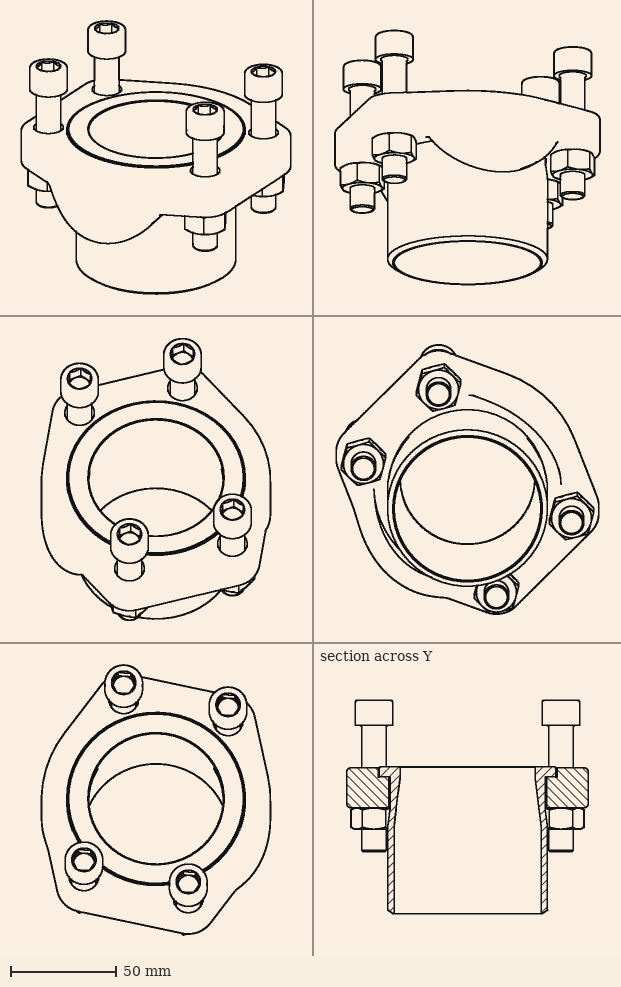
import cadquery as cq
import math

PIPE_TOP = 70.0
FLANGE_TOP = 69.5
FLANGE_BOTTOM = 50.3
COLLAR_BOTTOM = 65.0
NECK_BOTTOM = 50.0
TAPER_BOTTOM = 42.0

PIPE_D = 76.1
PIPE_BORE_D = 69.7
NECK_D = 74.0
NECK_BORE_D = 64.0
COLLAR_D = 84.1
COLLAR_CHAMFER = 0.5
MOUTH_CHAMFER = 0.4
PIPE_END_CHAMFER_WIDTH = 2.5
PIPE_END_CHAMFER_HEIGHT = 1.7

FLANGE_LENGTH = 115.0
FLANGE_ARC_R = 54.5
FLANGE_EDGE_FILLET = 2.0
FLANGE_BORE_D = 74.95
COLLAR_SEAT_D = 84.95
LOBE_ARC_R = 37.0
LOBE_DRAFT = 6.0
LOBE_BOTTOM = 31.3
LOBE_ROOT_FILLET = 2.0
LOBE_INNER_D = 89.0
BOLT_HOLE_D = 14.0

BOLT_PITCH_X = 88.9
BOLT_PITCH_Y = 50.8
BOLT_D = 11.7
BOLT_TIP_D = 10.34
BOLT_LENGTH = 60.0
HEAD_D = 18.0
HEAD_HEIGHT = 12.0
HEAD_TOP = 101.6
HEAD_EDGE_FILLET = 1.2
NECK_FILLET_D = 13.0
NECK_FILLET_HEIGHT = 1.1
SOCKET_WIDTH = 10.0
SOCKET_DEPTH = 7.0
SOCKET_CORNER_ANGLE = 38.0
SOCKET_CONE_HEIGHT = 2.9
NUT_WIDTH = 19.0
NUT_HEIGHT = 10.0
NUT_CHAMFER_ANGLE = 30.0

BOLT_POSITIONS = [
    (side_x * BOLT_PITCH_X / 2, side_y * BOLT_PITCH_Y / 2)
    for side_x in (-1, 1)
    for side_y in (-1, 1)
]


def cylinder(diameter, bottom, top):
    return cq.Workplane("XY").workplane(offset=bottom).circle(diameter / 2).extrude(top - bottom)


def hexagon_corners(width):
    """Diameter of the circle through the corners of a hexagon, from its width across flats."""
    return width / math.cos(math.radians(30))


def make_pipe():
    """Pipe that tapers to a narrower neck with a collar on top."""
    profile = [
        (PIPE_BORE_D / 2, 0),
        (PIPE_D / 2 - PIPE_END_CHAMFER_WIDTH, 0),
        (PIPE_D / 2, PIPE_END_CHAMFER_HEIGHT),
        (PIPE_D / 2, TAPER_BOTTOM),
        (NECK_D / 2, NECK_BOTTOM),
        (NECK_D / 2, COLLAR_BOTTOM),
        (COLLAR_D / 2, COLLAR_BOTTOM),
        (COLLAR_D / 2, PIPE_TOP - COLLAR_CHAMFER),
        (COLLAR_D / 2 - COLLAR_CHAMFER, PIPE_TOP),
        (NECK_BORE_D / 2 + MOUTH_CHAMFER, PIPE_TOP),
        (NECK_BORE_D / 2, PIPE_TOP - MOUTH_CHAMFER),
        (NECK_BORE_D / 2, COLLAR_BOTTOM),
        (PIPE_BORE_D / 2, TAPER_BOTTOM),
    ]
    return cq.Workplane("XZ").polyline(profile).close().revolve(360, (0, 0), (0, 1))


def flange_outline():
    """Two large arcs about the centre and four corner arcs about the bolts, joined by tangent lines."""
    corner_r = (FLANGE_LENGTH - BOLT_PITCH_X) / 2
    bolt_distance = math.hypot(BOLT_PITCH_X, BOLT_PITCH_Y) / 2
    bolt_angle = math.atan2(BOLT_PITCH_Y, BOLT_PITCH_X)
    tangent_angle = bolt_angle + math.acos((FLANGE_ARC_R - corner_r) / bolt_distance)
    bolt_x = BOLT_PITCH_X / 2
    bolt_y = BOLT_PITCH_Y / 2

    side_x = FLANGE_LENGTH / 2
    corner_x = bolt_x + corner_r * math.cos(tangent_angle)
    corner_y = bolt_y + corner_r * math.sin(tangent_angle)
    corner_mid_x = bolt_x + corner_r * math.cos(tangent_angle / 2)
    corner_mid_y = bolt_y + corner_r * math.sin(tangent_angle / 2)
    arc_x = FLANGE_ARC_R * math.cos(tangent_angle)
    arc_y = FLANGE_ARC_R * math.sin(tangent_angle)
    return (
        cq.Workplane("XY")
        .workplane(offset=LOBE_BOTTOM)
        .moveTo(side_x, -bolt_y)
        .lineTo(side_x, bolt_y)
        .threePointArc((corner_mid_x, corner_mid_y), (corner_x, corner_y))
        .lineTo(arc_x, arc_y)
        .threePointArc((0, FLANGE_ARC_R), (-arc_x, arc_y))
        .lineTo(-corner_x, corner_y)
        .threePointArc((-corner_mid_x, corner_mid_y), (-side_x, bolt_y))
        .lineTo(-side_x, -bolt_y)
        .threePointArc((-corner_mid_x, -corner_mid_y), (-corner_x, -corner_y))
        .lineTo(-arc_x, -arc_y)
        .threePointArc((0, -FLANGE_ARC_R), (arc_x, -arc_y))
        .lineTo(corner_x, -corner_y)
        .threePointArc((corner_mid_x, -corner_mid_y), (side_x, -bolt_y))
        .close()
    )


def make_flange():
    """Flange plate with a round lobe hanging down at each end of Y."""
    block = flange_outline().extrude(FLANGE_TOP - LOBE_BOTTOM)

    plate = (
        cq.Workplane("XY")
        .workplane(offset=FLANGE_BOTTOM)
        .rect(FLANGE_LENGTH, 2 * FLANGE_ARC_R)
        .extrude(FLANGE_TOP - FLANGE_BOTTOM)
    )
    lobe = (
        cq.Workplane("XZ", origin=(0, -FLANGE_ARC_R, LOBE_BOTTOM + LOBE_ARC_R))
        .circle(LOBE_ARC_R)
        .extrude(-FLANGE_ARC_R, taper=LOBE_DRAFT)
    )
    stock = plate.union(lobe).union(lobe.mirror("XZ"))
    root_edges = stock.edges("%HYPERBOLA").edges("<Z")
    stock = root_edges.fillet(LOBE_ROOT_FILLET)
    flange = block.intersect(stock)

    outline_edges = flange.edges("not |Z").filter(
        lambda edge: math.hypot(edge.Center().x, edge.Center().y) > LOBE_INNER_D / 2)
    flange = outline_edges.fillet(FLANGE_EDGE_FILLET)

    flange = flange.cut(cylinder(FLANGE_BORE_D, LOBE_BOTTOM, FLANGE_TOP))
    flange = flange.cut(cylinder(COLLAR_SEAT_D, COLLAR_BOTTOM, FLANGE_TOP))
    flange = flange.cut(cylinder(LOBE_INNER_D, LOBE_BOTTOM, FLANGE_BOTTOM))
    for x, y in BOLT_POSITIONS:
        hole = cylinder(BOLT_HOLE_D, FLANGE_BOTTOM, FLANGE_TOP)
        flange = flange.cut(hole.translate((x, y, 0)))
    return flange


def make_bolt():
    """Socket head screw on the Z axis."""
    head_bottom = HEAD_TOP - HEAD_HEIGHT
    tip = head_bottom - BOLT_LENGTH
    neck_step = (NECK_FILLET_D - BOLT_D) / 2
    neck_fillet_r = (neck_step**2 + NECK_FILLET_HEIGHT**2) / (2 * neck_step)
    tip_chamfer = (BOLT_D - BOLT_TIP_D) / 2

    head = cylinder(HEAD_D, head_bottom, HEAD_TOP).faces(">Z").edges().fillet(HEAD_EDGE_FILLET)
    shank = cylinder(BOLT_D, tip, head_bottom).faces("<Z").edges().chamfer(tip_chamfer)
    neck = (
        cq.Workplane("XZ")
        .moveTo(0, head_bottom)
        .lineTo(NECK_FILLET_D / 2, head_bottom)
        .radiusArc((BOLT_D / 2, head_bottom - NECK_FILLET_HEIGHT), -neck_fillet_r)
        .lineTo(0, head_bottom - NECK_FILLET_HEIGHT)
        .close()
        .revolve(360, (0, 0), (0, 1))
    )
    bolt = head.union(shank).union(neck)

    socket_bottom = HEAD_TOP - SOCKET_DEPTH
    corner_d = hexagon_corners(SOCKET_WIDTH)
    socket = (
        cq.Workplane("XY")
        .workplane(offset=socket_bottom)
        .polygon(6, corner_d)
        .extrude(SOCKET_DEPTH)
    )
    socket_cone = cq.Workplane(cq.Solid.makeCone(
        0, SOCKET_WIDTH / 2, SOCKET_CONE_HEIGHT, cq.Vector(0, 0, socket_bottom - SOCKET_CONE_HEIGHT)))
    mouth_cone = cq.Workplane(cq.Solid.makeCone(
        0, corner_d / 2, corner_d / 2, cq.Vector(0, 0, HEAD_TOP - corner_d / 2)))
    bolt = bolt.cut(socket).cut(socket_cone).cut(mouth_cone)
    return bolt.rotate((0, 0, 0), (0, 0, 1), SOCKET_CORNER_ANGLE)


def make_nut():
    """Hexagon nut on the Z axis, with both faces chamfered down to a circle."""
    corner_r = hexagon_corners(NUT_WIDTH) / 2
    face_r = NUT_WIDTH / 2
    bottom = FLANGE_BOTTOM - NUT_HEIGHT
    chamfer = (corner_r - face_r) * math.tan(math.radians(NUT_CHAMFER_ANGLE))
    envelope_profile = [
        (BOLT_D / 2, bottom),
        (face_r, bottom),
        (corner_r, bottom + chamfer),
        (corner_r, FLANGE_BOTTOM - chamfer),
        (face_r, FLANGE_BOTTOM),
        (BOLT_D / 2, FLANGE_BOTTOM),
    ]
    envelope = cq.Workplane("XZ").polyline(envelope_profile).close().revolve(360, (0, 0), (0, 1))
    hexagon = cq.Workplane("XY").workplane(offset=bottom).polygon(6, 2 * corner_r).extrude(NUT_HEIGHT)
    return hexagon.intersect(envelope)


pipe = make_pipe()
flange = make_flange()
bolts = []
nuts = []
for x, y in BOLT_POSITIONS:
    bolts.append(make_bolt().translate((x, y, 0)).val())
    nuts.append(make_nut().translate((x, y, 0)).val())

result = cq.Compound.makeCompound([pipe.val(), flange.val(), *bolts, *nuts])